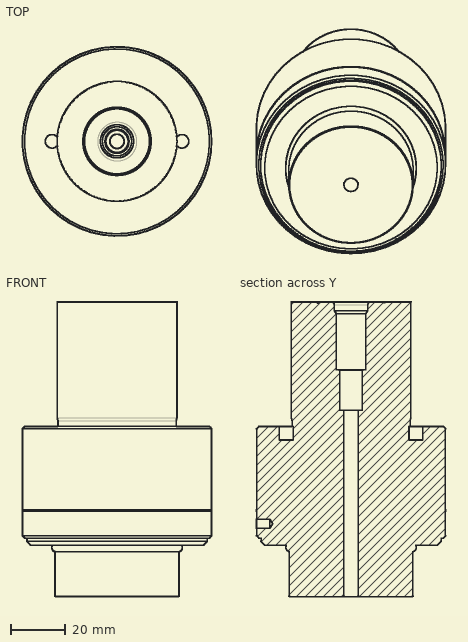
import cadquery as cq
import math

total_height = 109.0
body_bottom = 19.0
body_top = 63.0

shank_radius = 23.0
shank_chamfer = 0.3

seal_section_radius = 1.75
seal_outer_radius = 24.2
seal_center_height = 18.3

body_radius = 35.0
body_top_chamfer = 0.85
lip_radius = 33.4
lip_bottom_chamfer = 1.5
body_lower_edge = 22.5
body_lower_chamfer = 0.9

seam_height = 31.9
seam_width = 0.4
seam_depth = 0.1

spindle_radius = 22.2
relief_radius = 21.9
relief_taper_top = 66.2
relief_taper_bottom = 65.1

face_groove_outer_radius = 12.65
face_groove_inner_radius = 12.0
face_groove_depth = 0.35

bore_mouth_radius = 6.15
bore_mouth_round = 1.05
bore_mouth_depth = 3.2
bore_radius = 5.4
bore_cone_end = 4.3
bore_depth = 25.0
step_radius = 4.45
step_bottom_radius = 4.1
step_depth = 40.0
through_radius = 2.6

spanner_hole_radius = 2.5
spanner_hole_offset = 24.0
spanner_hole_depth = 5.0

side_hole_radius = 1.6
side_hole_height = 27.0
side_hole_depth = 5.0
drill_point_angle = 118.0


def make_outer_body():
    """Turned outside shape: shank, body, relief and spindle."""
    lower_step_radius = body_radius - body_lower_chamfer
    lower_step_height = body_lower_edge - body_lower_chamfer
    outline = [
        (0, 0),
        (shank_radius - shank_chamfer, 0),
        (shank_radius, shank_chamfer),
        (shank_radius, body_bottom),
        (lip_radius - lip_bottom_chamfer, body_bottom),
        (lip_radius, body_bottom + lip_bottom_chamfer),
        (lip_radius, lower_step_height),
        (lower_step_radius, lower_step_height),
        (body_radius, body_lower_edge),
        (body_radius, body_top - body_top_chamfer),
        (body_radius - body_top_chamfer, body_top),
        (relief_radius, body_top),
        (relief_radius, relief_taper_bottom),
        (spindle_radius, relief_taper_top),
        (spindle_radius, total_height),
        (0, total_height),
    ]
    return cq.Workplane("XZ").polyline(outline).close().revolve(360, (0, 0), (0, 1))


def make_seal_ring():
    """Ring of round section that bulges out just under the body."""
    section_center = seal_outer_radius - seal_section_radius
    top_rise = body_bottom - seal_center_height
    top_radius = section_center + math.sqrt(seal_section_radius**2 - top_rise**2)
    shank_reach = shank_radius - section_center
    shank_contact = seal_center_height - math.sqrt(seal_section_radius**2 - shank_reach**2)
    return (
        cq.Workplane("XZ")
        .moveTo(section_center, body_bottom)
        .lineTo(top_radius, body_bottom)
        .threePointArc((seal_outer_radius, seal_center_height), (shank_radius, shank_contact))
        .lineTo(section_center, shank_contact)
        .close()
        .revolve(360, (0, 0), (0, 1))
    )


def make_seam_groove():
    """Shallow square groove where the body halves meet."""
    return (
        cq.Workplane("XY")
        .workplane(offset=seam_height - seam_width / 2)
        .circle(body_radius)
        .circle(body_radius - seam_depth)
        .extrude(seam_width)
    )


def make_face_groove():
    """V-shaped ring groove around the bore mouth."""
    groove_center = (face_groove_outer_radius + face_groove_inner_radius) / 2
    outline = [
        (face_groove_inner_radius, total_height),
        (face_groove_outer_radius, total_height),
        (groove_center, total_height - face_groove_depth),
    ]
    return cq.Workplane("XZ").polyline(outline).close().revolve(360, (0, 0), (0, 1))


def make_bore():
    """Stepped bore with a rounded mouth, running through the whole part."""
    top = total_height
    round_bottom = top - bore_mouth_round
    arc_offset = bore_mouth_round * (1 - math.sqrt(0.5))
    step_cone_height = step_radius - step_bottom_radius
    return (
        cq.Workplane("XZ")
        .moveTo(0, top)
        .lineTo(bore_mouth_radius + bore_mouth_round, top)
        .threePointArc(
            (bore_mouth_radius + arc_offset, top - arc_offset),
            (bore_mouth_radius, round_bottom),
        )
        .lineTo(bore_mouth_radius, top - bore_mouth_depth)
        .lineTo(bore_radius, top - bore_cone_end)
        .lineTo(bore_radius, top - bore_depth)
        .lineTo(step_radius, top - bore_depth)
        .lineTo(step_bottom_radius, top - bore_depth - step_cone_height)
        .lineTo(step_bottom_radius, top - step_depth)
        .lineTo(through_radius, top - step_depth)
        .lineTo(through_radius, 0)
        .lineTo(0, 0)
        .close()
        .revolve(360, (0, 0), (0, 1))
    )


def make_spanner_holes():
    """Two blind holes on opposite sides of the spindle."""
    return (
        cq.Workplane("XY")
        .workplane(offset=body_top - spanner_hole_depth)
        .pushPoints([(-spanner_hole_offset, 0), (spanner_hole_offset, 0)])
        .circle(spanner_hole_radius)
        .extrude(spanner_hole_depth)
    )


def make_side_hole():
    """Blind radial hole drilled in from the -X side."""
    hole_end = -body_radius + side_hole_depth
    point_length = side_hole_radius / math.tan(math.radians(drill_point_angle / 2))
    outline = [
        (-body_radius, side_hole_height),
        (-body_radius, side_hole_height + side_hole_radius),
        (hole_end, side_hole_height + side_hole_radius),
        (hole_end + point_length, side_hole_height),
    ]
    return (
        cq.Workplane("XZ")
        .polyline(outline)
        .close()
        .revolve(360, (0, side_hole_height), (1, side_hole_height))
    )


result = (
    make_outer_body()
    .union(make_seal_ring())
    .cut(make_seam_groove())
    .cut(make_face_groove())
    .cut(make_bore())
    .cut(make_spanner_holes())
    .cut(make_side_hole())
)